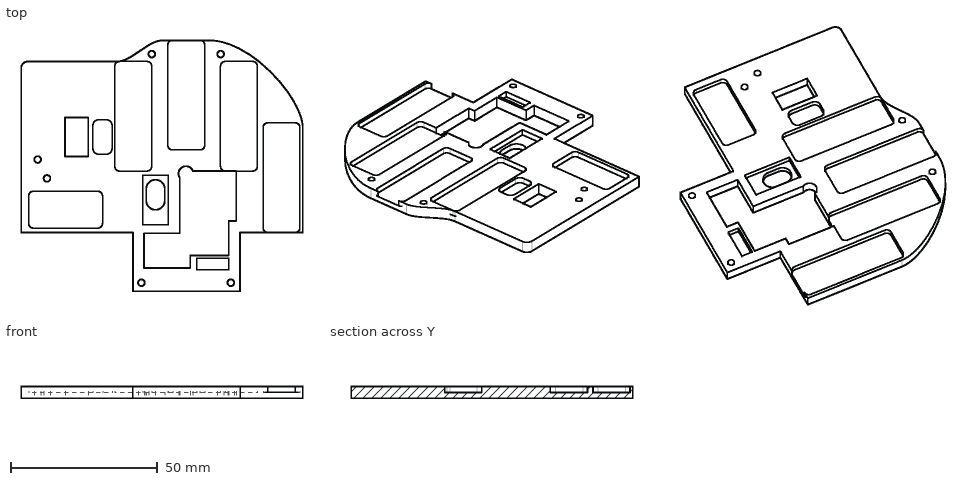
import cadquery as cq

plate_width = 96.0
plate_depth = 85.5
thickness = 4.0
pocket_depth = thickness / 2
pocket_floor = thickness - pocket_depth

body_front = 20.1
left_back = 78.3
left_corner_radius = 2.3
tab_left = 38.1
tab_right = 74.6
rise_start = 32.6
rise_end = 48.3
rise_pull = 5.3
dome_start = 64.2
dome_end = 55.6
dome_pull_x = 14.3
dome_pull_y = 10.0

window_left = 54.0
window_right = 73.2
relief_diameter = 5.0
relief_center = (56.2, 40.1)
window_step_y = 24.0
window_lower_right = 70.7
ledge_y = 12.3
ledge_x = 57.6
window_front = 8.1
window_lower_left = 42.0
window_lower_back = 19.8

finger_width = 12.6
finger_length = 37.3
finger_radius = 1.6
window_back = left_back - finger_length
finger_pockets = [
    (38.2, left_back),
    (56.3, plate_depth),
    (74.2, left_back),
    (88.7, body_front + finger_length),
]

wide_pocket_length = 25.2
wide_pocket_center = (15.2, 27.8)
small_pocket_size = (6.5, 11.8)
small_pocket_radius = 2.0
small_pocket_center = (27.7, 52.6)
slot_pocket_size = (8.8, 16.9)
slot_pocket_center = (45.8, 31.2)
ledge_pocket_size = (10.8, 3.9)
ledge_pocket_center = (65.3, 9.4)

port_size = (7.8, 13.2)
port_center = (18.9, 52.6)
slot_length = 10.2
slot_width = 6.2
slot_center = (45.8, 32.9)
hole_diameter = 2.2
hole_centers = [
    (44.5, 80.8),
    (68.0, 80.8),
    (5.7, 44.9),
    (8.8, 38.5),
    (41.0, 3.0),
    (71.4, 3.0),
]


def make_plate():
    """Plate with an S-shaped rise and a swept dome along its back edge."""
    outline = (
        cq.Workplane("XY")
        .moveTo(0, body_front)
        .lineTo(tab_left, body_front)
        .lineTo(tab_left, 0)
        .lineTo(tab_right, 0)
        .lineTo(tab_right, body_front)
        .lineTo(plate_width, body_front)
        .lineTo(plate_width, dome_end)
        .bezier([
            (plate_width, dome_end),
            (plate_width, dome_end + dome_pull_y),
            (dome_start + dome_pull_x, plate_depth),
            (dome_start, plate_depth),
        ])
        .lineTo(rise_end, plate_depth)
        .bezier([
            (rise_end, plate_depth),
            (rise_end - rise_pull, plate_depth),
            (rise_start + rise_pull, left_back),
            (rise_start, left_back),
        ])
        .lineTo(left_corner_radius, left_back)
        .radiusArc((0, left_back - left_corner_radius), -left_corner_radius)
        .close()
    )
    return outline.extrude(thickness)


def make_window():
    """Stepped through opening with a round relief at its back left corner."""
    opening = (
        cq.Workplane("XY")
        .polyline([
            (window_left, window_back),
            (window_right, window_back),
            (window_right, window_step_y),
            (window_lower_right, window_step_y),
            (window_lower_right, ledge_y),
            (ledge_x, ledge_y),
            (ledge_x, window_front),
            (window_lower_left, window_front),
            (window_lower_left, window_lower_back),
            (window_left, window_lower_back),
        ])
        .close()
        .extrude(thickness)
    )
    relief = cq.Workplane("XY").center(*relief_center).circle(relief_diameter / 2).extrude(thickness)
    return opening.union(relief)


def make_pocket(center, size, corner_radius=0):
    """Rectangular cutter from the pocket floor up to the top face."""
    pocket = cq.Workplane("XY", origin=(*center, pocket_floor)).rect(*size).extrude(pocket_depth)
    if corner_radius > 0:
        pocket = pocket.edges("|Z").fillet(corner_radius)
    return pocket


result = make_plate().cut(make_window())

for center_x, back_y in finger_pockets:
    finger_center = (center_x, back_y - finger_length / 2)
    result = result.cut(make_pocket(finger_center, (finger_width, finger_length), finger_radius))
result = result.cut(make_pocket(wide_pocket_center, (wide_pocket_length, finger_width), finger_radius))
result = result.cut(make_pocket(small_pocket_center, small_pocket_size, small_pocket_radius))
result = result.cut(make_pocket(slot_pocket_center, slot_pocket_size))
result = result.cut(make_pocket(ledge_pocket_center, ledge_pocket_size))

port = cq.Workplane("XY").center(*port_center).rect(*port_size).extrude(thickness)
slot = cq.Workplane("XY").center(*slot_center).slot2D(slot_length, slot_width, 90).extrude(thickness)
holes = cq.Workplane("XY").pushPoints(hole_centers).circle(hole_diameter / 2).extrude(thickness)
result = result.cut(port).cut(slot).cut(holes)